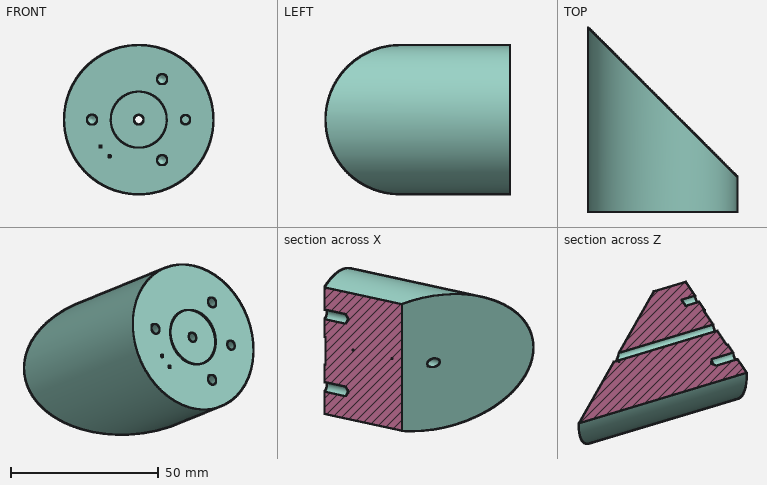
import cadquery as cq
import math

body_axis = cq.Vector(0, 1, 0)
body_diameter = 50.8
body_radius = body_diameter / 2
long_side_length = 62.73
face_angle = 45.0
short_side_length = long_side_length - body_diameter * math.tan(math.radians(face_angle))

recess_diameter = 19.05
recess_depth = 0.4
center_hole_diameter = 3.2

hole_circle_radius = 15.875
drilled_hole_diameter = 3.45
drilled_hole_depth = 8.0
drilled_hole_angles = [60, 180, 300]
pin_hole_diameter = 3.2
pin_hole_depth = 5.0
pin_hole_angle = 0
mark_hole_diameter = 0.8
mark_hole_depth = 1.0
mark_hole_angles = [215, 231.5]
drill_point_angle = 118.0


def cylinder_from_base(diameter, depth, x=0.0, z=0.0):
    """Cylinder that starts on the base face and runs toward +Y."""
    return cq.Workplane(cq.Solid.makeCylinder(diameter / 2, depth, cq.Vector(x, 0, z), body_axis))


def drill_point(diameter, depth, x, z):
    """Cone that continues a drilled hole below its full-diameter depth."""
    radius = diameter / 2
    height = radius / math.tan(math.radians(drill_point_angle / 2))
    return cq.Workplane(cq.Solid.makeCone(radius, 0, height, cq.Vector(x, depth, z), body_axis))


def point_on_hole_circle(angle):
    """X and Z of a point on the hole circle."""
    turn = math.radians(angle)
    return hole_circle_radius * math.cos(turn), hole_circle_radius * math.sin(turn)


def slanted_body():
    """Round body with one end cut off at a slant."""
    side_profile = (
        cq.Workplane("XY")
        .moveTo(-body_radius, 0)
        .lineTo(body_radius, 0)
        .lineTo(body_radius, short_side_length)
        .lineTo(-body_radius, long_side_length)
        .close()
        .extrude(body_radius, both=True)
    )
    return cylinder_from_base(body_diameter, long_side_length).intersect(side_profile)


def cut_center(body):
    """Round recess in the base and the hole through the whole body."""
    recess = cylinder_from_base(recess_diameter, recess_depth)
    through_hole = cylinder_from_base(center_hole_diameter, long_side_length)
    return body.cut(recess).cut(through_hole)


def cut_drilled_holes(body, diameter, depth, angles):
    """Blind holes with conical bottoms on the hole circle."""
    for angle in angles:
        x, z = point_on_hole_circle(angle)
        body = body.cut(cylinder_from_base(diameter, depth, x, z))
        body = body.cut(drill_point(diameter, depth, x, z))
    return body


def cut_pin_hole(body):
    """Flat-bottomed blind hole on the hole circle."""
    x, z = point_on_hole_circle(pin_hole_angle)
    return body.cut(cylinder_from_base(pin_hole_diameter, pin_hole_depth, x, z))


result = slanted_body()
result = cut_center(result)
result = cut_drilled_holes(result, drilled_hole_diameter, drilled_hole_depth, drilled_hole_angles)
result = cut_pin_hole(result)
result = cut_drilled_holes(result, mark_hole_diameter, mark_hole_depth, mark_hole_angles)